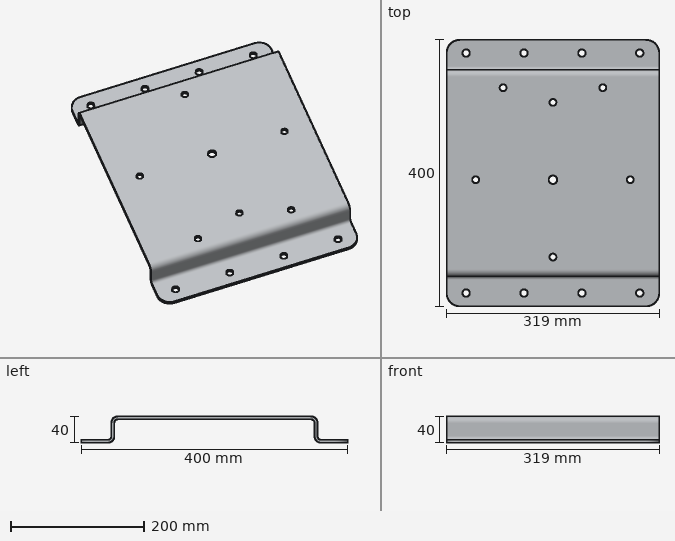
import cadquery as cq

width = 319.0
length = 400.0
height = 40.0
thickness = 5.0

inner_bend_radius = 5.0
outer_bend_radius = inner_bend_radius + thickness
flange_flat = 40.0
corner_radius = 20.0

flange_hole_diameter = 11.0
flange_hole_count = 4
flange_hole_pitch = 87.0
flange_hole_edge_distance = 20.0
deck_pattern_y = -10.0
center_hole_diameter = 12.5
cross_hole_diameter = 10.0
cross_hole_offset = 116.0
pair_hole_diameter = 10.0
pair_hole_x = 75.0
pair_hole_offset_y = 138.0


def hat_sheet():
    """Raised deck with a web and an outward flange on each side."""
    half_length = length / 2
    bend_start = half_length - flange_flat
    web_outer = bend_start - inner_bend_radius
    web_inner = web_outer - thickness
    deck_edge = web_outer - outer_bend_radius
    deck_underside = height - thickness

    half_profile = (
        cq.Workplane("YZ", origin=(-width / 2, 0, 0))
        .moveTo(0, height)
        .lineTo(deck_edge, height)
        .radiusArc((web_outer, height - outer_bend_radius), outer_bend_radius)
        .lineTo(web_outer, thickness + inner_bend_radius)
        .radiusArc((bend_start, thickness), -inner_bend_radius)
        .lineTo(half_length, thickness)
        .lineTo(half_length, 0)
        .lineTo(bend_start, 0)
        .radiusArc((web_inner, outer_bend_radius), outer_bend_radius)
        .lineTo(web_inner, deck_underside - inner_bend_radius)
        .radiusArc((deck_edge, deck_underside), -inner_bend_radius)
        .lineTo(0, deck_underside)
        .close()
    )
    half_sheet = half_profile.extrude(width)
    return half_sheet.union(half_sheet.mirror("XZ"))


def rounded_outline():
    """Full-height block that rounds the flange corners."""
    block = cq.Workplane("XY").rect(width, length).extrude(height)
    return block.edges("|Z").fillet(corner_radius)


def through_holes(points, diameter):
    return cq.Workplane("XY").pushPoints(points).circle(diameter / 2).extrude(height)


flange_hole_y = length / 2 - flange_hole_edge_distance
flange_holes = [
    ((i - (flange_hole_count - 1) / 2) * flange_hole_pitch, side * flange_hole_y)
    for i in range(flange_hole_count)
    for side in (-1, 1)
]
cross_holes = [
    (cross_hole_offset, deck_pattern_y),
    (-cross_hole_offset, deck_pattern_y),
    (0, deck_pattern_y + cross_hole_offset),
    (0, deck_pattern_y - cross_hole_offset),
]
pair_hole_y = deck_pattern_y + pair_hole_offset_y
pair_holes = [(-pair_hole_x, pair_hole_y), (pair_hole_x, pair_hole_y)]

result = (
    hat_sheet()
    .intersect(rounded_outline())
    .cut(through_holes(flange_holes, flange_hole_diameter))
    .cut(through_holes(cross_holes, cross_hole_diameter))
    .cut(through_holes(pair_holes, pair_hole_diameter))
    .cut(through_holes([(0, deck_pattern_y)], center_hole_diameter))
)